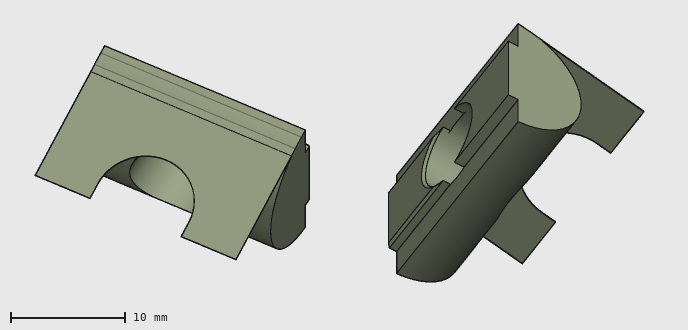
import cadquery as cq
import math

length = 19.8
barrel_radius = 7.0
barrel_axis_y = 0.5
blade_angle = math.radians(15)
blade_depth = 0.025
blade_thickness = 0.1
blade_reach = 13.03
rib_depth = 1.0
rib_half_height = 3.85
rib_chamfer = 0.25
hole_radius = 4.0
notch_radius = 4.5
notch_centre_y = -11.6

blade_sin = math.sin(blade_angle)
blade_cos = math.cos(blade_angle)
blade_slope = math.tan(blade_angle)
blade_root_z = (barrel_radius - blade_depth - barrel_axis_y * blade_sin) / blade_cos
blade_tip_z = blade_root_z - blade_reach * blade_slope


def extrude_outline(outline):
    """Extrude a closed YZ outline over the full length, centred on X."""
    return outline.close().extrude(length / 2, both=True)


def make_barrel():
    """Part of a cylinder in front of the flat back."""
    half_chord = math.sqrt(barrel_radius**2 - barrel_axis_y**2)
    return extrude_outline(
        cq.Workplane("YZ")
        .moveTo(0, -half_chord)
        .threePointArc((barrel_axis_y - barrel_radius, 0), (0, half_chord))
    )


def make_blade():
    """Thin sloping plate with a square tip, filled solid down to the barrel behind its foot."""
    inner_tip = (
        -blade_reach + blade_thickness * blade_sin,
        blade_tip_z - blade_thickness * blade_cos,
    )
    foot_radius = barrel_radius - blade_depth - blade_thickness
    inner_foot = (barrel_axis_y - foot_radius * blade_sin, foot_radius * blade_cos)
    return extrude_outline(
        cq.Workplane("YZ")
        .moveTo(0, blade_root_z)
        .lineTo(-blade_reach, blade_tip_z)
        .lineTo(*inner_tip)
        .lineTo(*inner_foot)
        .lineTo(0, 0)
    )


def make_notch():
    """Round-ended cutter, square to the blade and open at its tip."""
    centre_z = blade_root_z + notch_centre_y * blade_slope
    blade_plane = cq.Plane(
        origin=(0, notch_centre_y, centre_z),
        xDir=(1, 0, 0),
        normal=(0, -blade_sin, blade_cos),
    )
    return (
        cq.Workplane(blade_plane)
        .moveTo(-notch_radius, -blade_reach)
        .lineTo(-notch_radius, 0)
        .threePointArc((0, notch_radius), (notch_radius, 0))
        .lineTo(notch_radius, -blade_reach)
        .close()
        .extrude(2 * blade_thickness, both=True)
    )


def make_hole():
    """Cutter for the round hole running right through along Y."""
    return cq.Workplane("XZ").circle(hole_radius).extrude(2 * barrel_radius, both=True)


def make_rib_half(side):
    """Half of the back rib on the given X side, cut by the hole."""
    half = (
        cq.Workplane("XY")
        .box(length / 2, rib_depth, 2 * rib_half_height)
        .translate((side * length / 4, rib_depth / 2, 0))
    )
    return half.cut(make_hole())


plain_rib = make_rib_half(-1)
chamfered_rib = make_rib_half(1).faces(">Y").chamfer(rib_chamfer)

result = (
    make_barrel()
    .union(make_blade().cut(make_notch()))
    .cut(make_hole())
    .union(plain_rib)
    .union(chamfered_rib)
)